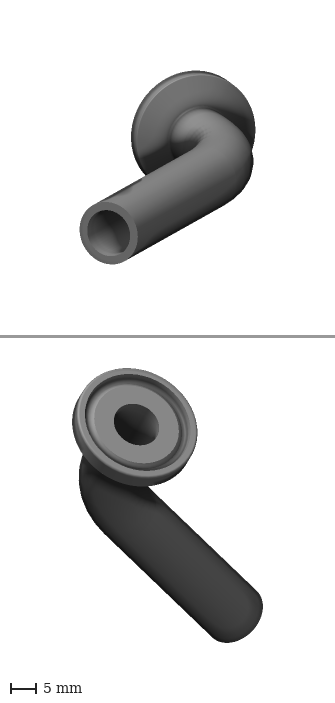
import cadquery as cq
import math

overall_length = 83.8

tube_diameter = 12.7
bore_diameter = 9.4
bend_radius = 28.6
bend_angle = 45.0

ferrule_length = 13.65
flange_diameter = 25.0
rim_width = 3.7
rim_front_radius = 0.5
rim_back_radius = 0.25
cone_angle = 20.0
neck_fillet_radius = 0.5

groove_outer_diameter = 21.9
groove_wall_diameter = 21.3
groove_wall_depth = 1.1
groove_bottom_diameter = 20.5
groove_floor_diameter = 19.3
groove_depth = 1.6
disc_diameter = 17.5
disc_recess = 0.8

level_tolerance = 0.01

tube_radius = tube_diameter / 2
flange_radius = flange_diameter / 2
cone_length = (flange_radius - tube_radius) * math.tan(math.radians(cone_angle))
cone_end = rim_width + cone_length

bend_sin = math.sin(math.radians(bend_angle))
bend_cos = math.cos(math.radians(bend_angle))
rim_reach = (flange_radius - rim_front_radius) * bend_sin + rim_front_radius * (1 - bend_cos)
rim_y = overall_length - rim_reach
bend_end_x = -bend_radius * (1 - bend_cos)
bend_end_y = rim_y - ferrule_length * bend_cos
straight_length = bend_end_y - bend_radius * bend_sin
rim_x = bend_end_x - ferrule_length * bend_sin

ferrule_frame = cq.Plane(origin=(rim_x, rim_y, 0), xDir=(0, 0, 1), normal=(-bend_sin, bend_cos, 0))


def bent_rod(diameter):
    """Round rod that follows the whole centreline of the part."""
    centreline = (
        cq.Workplane("XY")
        .lineTo(0, straight_length)
        .radiusArc((bend_end_x, bend_end_y), -bend_radius)
        .lineTo(rim_x, rim_y)
    )
    return cq.Workplane("XZ").circle(diameter / 2).sweep(centreline)


def turned(profile):
    """Close a (radius, local Z) profile and turn it about the local Z axis."""
    return profile.close().revolve(360, (0, 0), (0, 1))


def circles_near(level):
    """Selector for the edges of a turned body that lie at one local Z level."""
    half_width = flange_diameter
    return cq.selectors.BoxSelector(
        (-half_width, -half_width, level - level_tolerance),
        (half_width, half_width, level + level_tolerance),
    )


def ferrule_blank():
    """Rim, cone and neck with their edges rounded."""
    profile = (
        cq.Workplane("XZ")
        .lineTo(flange_radius, 0)
        .lineTo(flange_radius, -rim_width)
        .lineTo(tube_radius, -cone_end)
        .lineTo(tube_radius, -ferrule_length)
        .lineTo(0, -ferrule_length)
    )
    blank = turned(profile)
    blank = blank.edges(circles_near(0)).fillet(rim_front_radius)
    blank = blank.edges(circles_near(-rim_width)).fillet(rim_back_radius)
    return blank.edges(circles_near(-cone_end)).fillet(neck_fillet_radius)


def face_recess():
    """Recess over the centre disc together with the round-bottomed groove around it."""
    profile = (
        cq.Workplane("XZ")
        .lineTo(groove_outer_diameter / 2, 0)
        .lineTo(groove_wall_diameter / 2, -groove_wall_depth)
        .threePointArc(
            (groove_bottom_diameter / 2, -groove_depth),
            (groove_floor_diameter / 2, -groove_depth),
        )
        .lineTo(disc_diameter / 2, -disc_recess)
        .lineTo(0, -disc_recess)
    )
    return turned(profile)


def placed_on_bend(local_body):
    """Move a body from the ferrule frame onto the end of the bend."""
    return cq.Workplane(local_body.val().moved(cq.Location(ferrule_frame)))


result = (
    bent_rod(tube_diameter)
    .union(placed_on_bend(ferrule_blank()))
    .cut(placed_on_bend(face_recess()))
    .cut(bent_rod(bore_diameter))
)